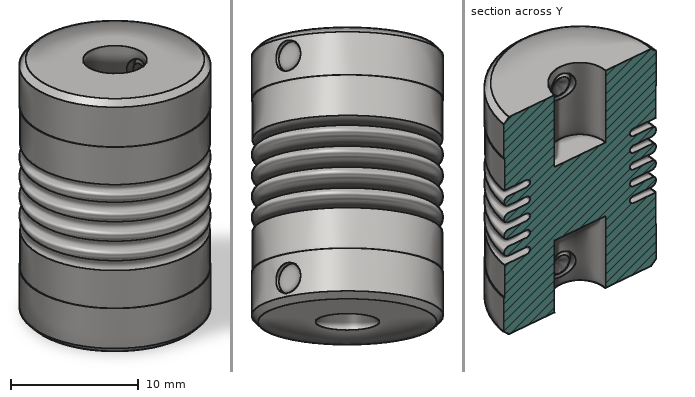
import cadquery as cq

length = 22.0
outer_radius = 7.5
collar_radius = 14.9 / 2
root_radius = 4.93
end_chamfer = 0.5

hub_length = 3.98
hub_and_collar_length = 7.25

ring_count = 4
groove_width = 0.7
bellows_length = length - 2 * hub_and_collar_length
ring_thickness = (bellows_length - (ring_count + 1) * groove_width) / ring_count
ring_pitch = ring_thickness + groove_width

bore_radius = 5.0 / 2
bore_depth = hub_and_collar_length

screw_radius = 2.46 / 2
screw_inset = 2.0
screw_tip_y = 2.5
screw_head_y = 7.05
tip_chamfer = 0.37
cup_radius = screw_radius - tip_chamfer
cup_depth = 0.55


def cylinder(radius, bottom, height):
    return cq.Workplane("XY").workplane(offset=bottom).circle(radius).extrude(height)


def make_hub():
    """Lower hub with its chamfered end and the collar above it."""
    hub = cylinder(outer_radius, 0, hub_length).faces("<Z").chamfer(end_chamfer)
    return hub.union(cylinder(collar_radius, hub_length, hub_and_collar_length - hub_length))


def make_bellows():
    """Revolved core with full-round ring rims and full-round groove roots."""
    rim_round = ring_thickness / 2
    root_round = groove_width / 2
    rim_start = outer_radius - rim_round
    groove_start = root_radius + root_round
    z = hub_and_collar_length
    profile = cq.Workplane("XZ").moveTo(0, z).lineTo(groove_start, z)
    for index in range(ring_count + 1):
        z = hub_and_collar_length + index * ring_pitch
        groove_top = z + groove_width
        profile = profile.threePointArc((root_radius, z + root_round), (groove_start, groove_top))
        if index < ring_count:
            ring_top = groove_top + ring_thickness
            profile = profile.lineTo(rim_start, groove_top)
            profile = profile.threePointArc((outer_radius, groove_top + rim_round), (rim_start, ring_top))
            profile = profile.lineTo(groove_start, ring_top)
    return profile.lineTo(0, length - hub_and_collar_length).close().revolve(360, (0, 0), (0, 1))


def make_screw_hole():
    """Radial void around the screw, from the axis out through the hub."""
    return cq.Workplane("XZ", origin=(0, 0, screw_inset)).circle(screw_radius).extrude(-length / 2)


def make_screw():
    """Set screw along +Y with a chamfered tip and a conical cup point."""
    profile = cq.Workplane("XY").polyline([
        (0, screw_tip_y + cup_depth),
        (cup_radius, screw_tip_y),
        (screw_radius, screw_tip_y + tip_chamfer),
        (screw_radius, screw_head_y),
        (0, screw_head_y),
    ]).close()
    return profile.revolve(360, (0, 0), (0, 1)).translate((0, 0, screw_inset))


def make_end():
    """Complete lower end: hub, collar, bore and set screw."""
    end = make_hub().cut(cylinder(bore_radius, 0, bore_depth))
    return end.cut(make_screw_hole()).union(make_screw())


lower_end = make_end()
upper_end = lower_end.mirror("XY", (0, 0, length / 2))
result = make_bellows().union(lower_end).union(upper_end)